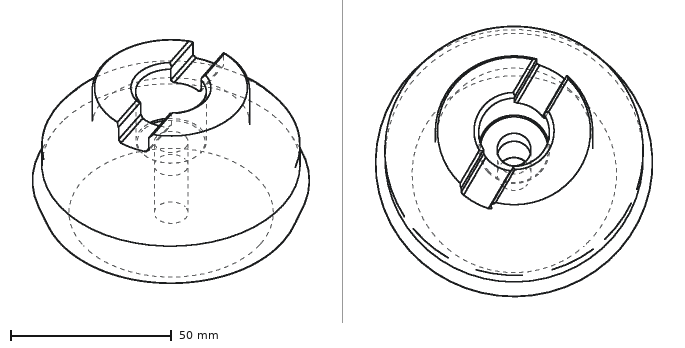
import cadquery as cq
import math

total_height = 49.9
through_hole_diameter = 10.5

rim_diameter = 86.2
rim_nose_radius = 1.3
rim_nose_height = 12.8
upper_flank_angle = 26.0
lower_flank_angle = 20.0
base_diameter = 63.6
base_cone_angle = 25.5
base_edge_fillet = 1.3

hub_diameter = 80.4
shoulder_bottom_height = 27.1
shoulder_diameter = 75.9
shoulder_top_height = 30.2
shoulder_top_fillet = 1.2
shoulder_bottom_fillet = 0.5
neck_diameter = 49.0
cone_top_height = 33.3
neck_fillet = 2.9
neck_chamfer = 0.7
neck_chamfer_fillet = 0.5

bore_diameter = 22.0
bore_depth = 21.6
bore_floor_chamfer = 0.4
bore_mouth_chamfer = 1.5

slot_width = 10.8
slot_depth = 6.8
slot_chamfer = 0.95

upper_angle = math.radians(upper_flank_angle)
lower_angle = math.radians(lower_flank_angle)
nose_center_radius = rim_diameter / 2 - rim_nose_radius
upper_tangent = (
    nose_center_radius + rim_nose_radius * math.cos(upper_angle),
    rim_nose_height + rim_nose_radius * math.sin(upper_angle),
)
lower_tangent = (
    nose_center_radius + rim_nose_radius * math.cos(lower_angle),
    rim_nose_height - rim_nose_radius * math.sin(lower_angle),
)
seat_height = upper_tangent[1] + (upper_tangent[0] - hub_diameter / 2) / math.tan(upper_angle)

base_slope = math.tan(math.radians(base_cone_angle))
flank_slope = 1 / math.tan(lower_angle)
base_corner_radius = (
    flank_slope * lower_tangent[0] - lower_tangent[1] - base_slope * base_diameter / 2
) / (flank_slope - base_slope)
base_corner_height = base_slope * (base_corner_radius - base_diameter / 2)


def circle_at(radius, height):
    """Selector for the circular edge of a given radius and height about the Z axis."""
    reach = radius + 0.1
    half_band = 0.04
    return cq.selectors.BoxSelector(
        (-reach, -reach, height - half_band), (reach, reach, height + half_band), boundingbox=True
    )


def make_rim():
    """Double-cone disc with a rounded nose and a central through hole."""
    hole_radius = through_hole_diameter / 2
    profile = (
        cq.Workplane("XZ")
        .moveTo(hole_radius, 0)
        .lineTo(base_diameter / 2, 0)
        .lineTo(base_corner_radius, base_corner_height)
        .lineTo(*lower_tangent)
        .threePointArc((rim_diameter / 2, rim_nose_height), upper_tangent)
        .lineTo(hub_diameter / 2, seat_height)
        .lineTo(hole_radius, seat_height)
        .close()
    )
    rim = profile.revolve(360, (0, 0), (0, 1))
    return rim.edges(circle_at(base_corner_radius, base_corner_height)).fillet(base_edge_fillet)


def make_hub_blank():
    """Hub turned outside: cylinder, shoulder, shallow cone and neck."""
    blank = (
        cq.Workplane("XZ")
        .moveTo(0, seat_height)
        .lineTo(hub_diameter / 2, seat_height)
        .lineTo(hub_diameter / 2, shoulder_bottom_height)
        .lineTo(shoulder_diameter / 2, shoulder_top_height)
        .lineTo(neck_diameter / 2, cone_top_height)
        .lineTo(neck_diameter / 2, total_height)
        .lineTo(0, total_height)
        .close()
        .revolve(360, (0, 0), (0, 1))
    )
    blank = blank.edges(circle_at(neck_diameter / 2, cone_top_height)).fillet(neck_fillet)
    blank = blank.edges(circle_at(shoulder_diameter / 2, shoulder_top_height)).fillet(shoulder_top_fillet)
    blank = blank.edges(circle_at(hub_diameter / 2, shoulder_bottom_height)).fillet(shoulder_bottom_fillet)
    blank = blank.faces(">Z").edges().chamfer(neck_chamfer)
    return blank.edges(circle_at(neck_diameter / 2, total_height - neck_chamfer)).fillet(neck_chamfer_fillet)


def make_bore():
    """Bore with a chamfered mouth and floor, continued by the through hole."""
    bore_radius = bore_diameter / 2
    hole_radius = through_hole_diameter / 2
    floor_height = total_height - bore_depth
    return (
        cq.Workplane("XZ")
        .moveTo(0, seat_height)
        .lineTo(hole_radius, seat_height)
        .lineTo(hole_radius, floor_height)
        .lineTo(bore_radius - bore_floor_chamfer, floor_height)
        .lineTo(bore_radius, floor_height + bore_floor_chamfer)
        .lineTo(bore_radius, total_height - bore_mouth_chamfer)
        .lineTo(bore_radius + bore_mouth_chamfer, total_height)
        .lineTo(0, total_height)
        .close()
        .revolve(360, (0, 0), (0, 1))
    )


def make_slot():
    """Slot across the neck, chamfered at its floor corners and its top edges."""
    half_width = slot_width / 2
    floor_height = total_height - slot_depth
    right_side = [
        (half_width - slot_chamfer, floor_height),
        (half_width, floor_height + slot_chamfer),
        (half_width, total_height - slot_chamfer),
        (half_width + slot_chamfer, total_height),
    ]
    left_side = [(-x, z) for x, z in reversed(right_side)]
    return (
        cq.Workplane("XZ")
        .polyline(right_side + left_side)
        .close()
        .extrude(neck_diameter / 2, both=True)
    )


rim = make_rim()
hub = make_hub_blank().cut(make_bore()).cut(make_slot())

result = cq.Compound.makeCompound([rim.val(), hub.val()])